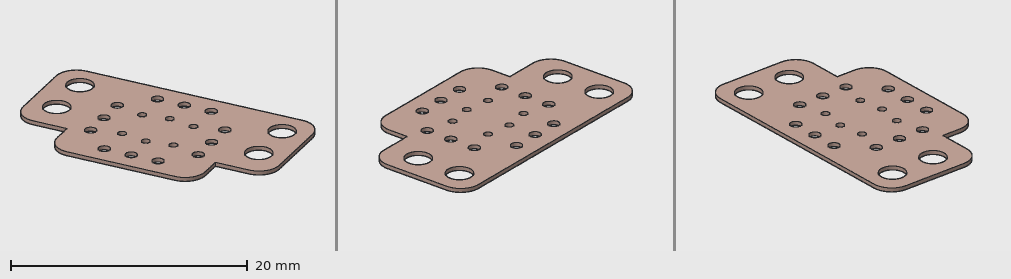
import cadquery as cq

length = 24.15
width = 13.98
thickness = 0.39
body_width = 10.17
tab_length = 13.98
corner_radius = 1.9

mount_diameter = 2.42
mount_x = 9.52
mount_upper_y = 4.45

pin_diameter = 1.05
pin_pitch = 2.54
pin_ring = 2 * pin_pitch

small_diameter = 0.75
small_outer_x = 2.42
small_outer_y = 1.9
small_middle_y = 2.3


def rounded_plate(size_x, size_y, center_y):
    """Flat plate with all four vertical corners rounded."""
    return (
        cq.Workplane("XY")
        .center(0, center_y)
        .rect(size_x, size_y)
        .extrude(thickness)
        .edges("|Z")
        .fillet(corner_radius)
    )


def drill(part, points, diameter):
    """Cut through holes at the given XY points."""
    cutters = cq.Workplane("XY").pushPoints(points).circle(diameter / 2).extrude(thickness)
    return part.cut(cutters)


body = rounded_plate(length, body_width, (width - body_width) / 2)
tab = rounded_plate(tab_length, width, 0)
plate = body.union(tab)

mount_points = [(side * mount_x, y) for side in (-1, 1) for y in (0, mount_upper_y)]

pin_points = []
for side in (-1, 1):
    for step in (-1, 0, 1):
        pin_points.append((side * pin_ring, step * pin_pitch))
        pin_points.append((step * pin_pitch, side * pin_ring))

small_points = []
for side in (-1, 1):
    small_points.append((0, side * small_middle_y))
    for end in (-1, 1):
        small_points.append((end * small_outer_x, side * small_outer_y))

plate = drill(plate, mount_points, mount_diameter)
plate = drill(plate, pin_points, pin_diameter)
result = drill(plate, small_points, small_diameter)